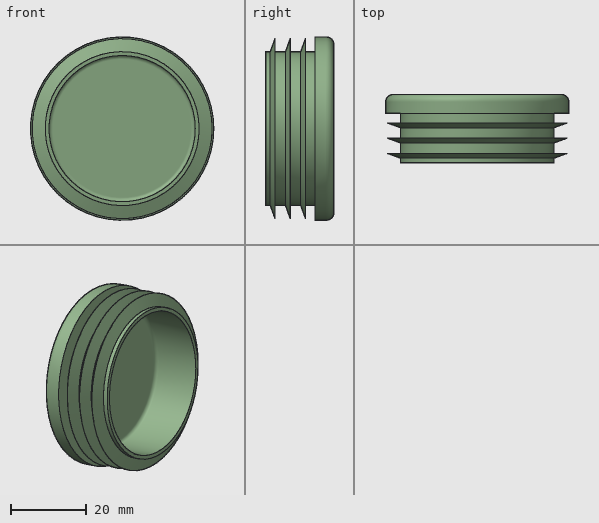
import cadquery as cq
import math


cap_diameter = 48.3
cap_thickness = 5.0
cap_edge_radius = 2.0

total_length = 18.0
sleeve_diameter = 40.5
wall = 1.0
floor_fillet = 1.0

fin_count = 3
fin_diameter = 47.4
fin_rim = 0.05
fin_angle = 20.0
first_fin_depth = 7.5
fin_pitch = 4.0

cap_face_y = total_length / 2
open_end_y = -total_length / 2
sleeve_radius = sleeve_diameter / 2
fin_radius = fin_diameter / 2
fin_slope_height = (fin_radius - sleeve_radius) * math.tan(math.radians(fin_angle))


def disc(diameter, start_y, length):
    """Cylinder on the Y axis that runs from start_y towards +Y."""
    return cq.Workplane("XZ", origin=(0, start_y, 0)).circle(diameter / 2).extrude(-length)


def sealing_fin(back_y):
    """Disc with a flat back towards the cap, a thin rim and a conical front towards the open end."""
    rim_y = back_y - fin_rim
    return (
        cq.Workplane("XY")
        .moveTo(0, back_y)
        .lineTo(fin_radius, back_y)
        .lineTo(fin_radius, rim_y)
        .lineTo(sleeve_radius, rim_y - fin_slope_height)
        .lineTo(0, rim_y - fin_slope_height)
        .close()
        .revolve(360, (0, 0, 0), (0, 1, 0))
    )


cap = disc(cap_diameter, cap_face_y - cap_thickness, cap_thickness)
cap = cap.faces(">Y").edges().fillet(cap_edge_radius)

plug = cap.union(disc(sleeve_diameter, open_end_y, total_length - cap_thickness))
for index in range(fin_count):
    plug = plug.union(sealing_fin(cap_face_y - first_fin_depth - index * fin_pitch))

cavity = disc(sleeve_diameter - 2 * wall, open_end_y, total_length - cap_thickness)
cavity = cavity.faces(">Y").edges().fillet(floor_fillet)

result = plug.cut(cavity)